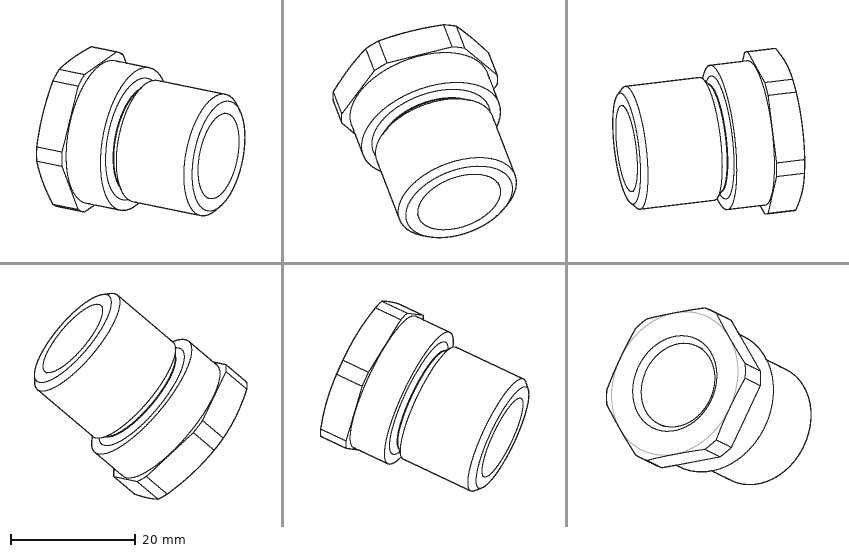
import cadquery as cq

total_length = 26.6
hex_length = 5.0
collar_end = 11.28
relief_start = 12.0
relief_end = 12.13
spigot_start = 13.25

across_flats = 24.0
corner_diameter = 26.4
hex_chamfer_length = 0.35
flat_alignment_angle = 30

collar_diameter = 23.5
collar_cone_diameter = 20.0
relief_diameter = 17.55
spigot_diameter = 20.0
end_chamfer = 0.98

bore_diameter = 14.0
bore_mouth_diameter = 15.99
bore_chamfer = (bore_mouth_diameter - bore_diameter) / 2


def revolve_about_x(profile):
    """Turn a closed outline of (x, radius) points about the X axis."""
    outline = cq.Workplane("XY").polyline(profile).close()
    return outline.revolve(360, (0, 0, 0), (1, 0, 0))


def make_hex_head():
    """Hexagon with flats at +Z and -Z, rounded corners and a chamfered front face."""
    hexagon = cq.Workplane("YZ").polygon(6, across_flats, circumscribed=True)
    prism = hexagon.extrude(hex_length).rotate((0, 0, 0), (1, 0, 0), flat_alignment_angle)
    corner_radius = corner_diameter / 2
    envelope = revolve_about_x([
        (0, 0),
        (0, across_flats / 2),
        (hex_chamfer_length, corner_radius),
        (hex_length, corner_radius),
        (hex_length, 0),
    ])
    return prism.intersect(envelope)


def make_turned_body():
    """Collar, relief groove with conical flanks, and chamfered spigot."""
    return revolve_about_x([
        (0, 0),
        (0, collar_diameter / 2),
        (collar_end, collar_diameter / 2),
        (collar_end, collar_cone_diameter / 2),
        (relief_start, relief_diameter / 2),
        (relief_end, relief_diameter / 2),
        (spigot_start, spigot_diameter / 2),
        (total_length - end_chamfer, spigot_diameter / 2),
        (total_length, spigot_diameter / 2 - end_chamfer),
        (total_length, 0),
    ])


def make_bore():
    """Through bore with a chamfered mouth at the hexagon end."""
    return revolve_about_x([
        (0, 0),
        (0, bore_mouth_diameter / 2),
        (bore_chamfer, bore_diameter / 2),
        (total_length, bore_diameter / 2),
        (total_length, 0),
    ])


result = make_hex_head().union(make_turned_body()).cut(make_bore())